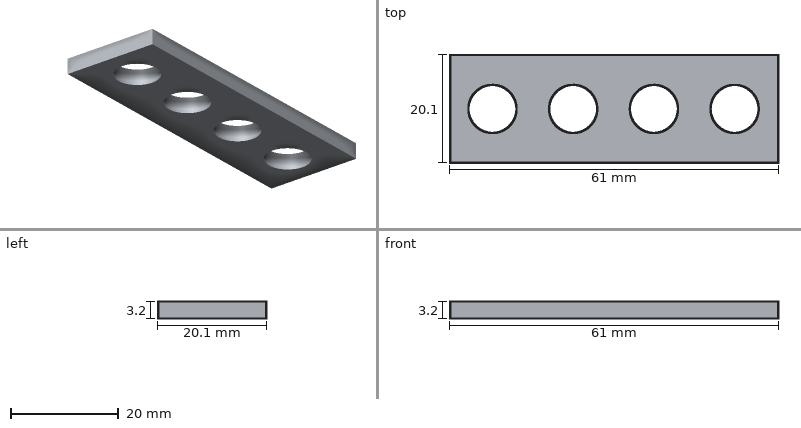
import cadquery as cq

plate_length = 60.96
plate_width = 20.07
plate_thickness = 3.2

hole_diameter = 8.89
hole_count = 4
hole_pitch = 14.986
first_hole_from_left_edge = 7.874


def make_plate():
    """Flat rectangular plate, centred on the origin in X and Y, base at Z = 0."""
    return cq.Workplane("XY").box(
        plate_length, plate_width, plate_thickness, centered=(True, True, False)
    )


def hole_centres():
    """Evenly spaced hole centres, measured from the plate's left edge."""
    first_hole_x = -plate_length / 2 + first_hole_from_left_edge
    return [(first_hole_x + i * hole_pitch, 0) for i in range(hole_count)]


def cut_holes(plate):
    """Drill the row of holes right through the plate."""
    return plate.faces(">Z").workplane().pushPoints(hole_centres()).hole(hole_diameter)


result = cut_holes(make_plate())